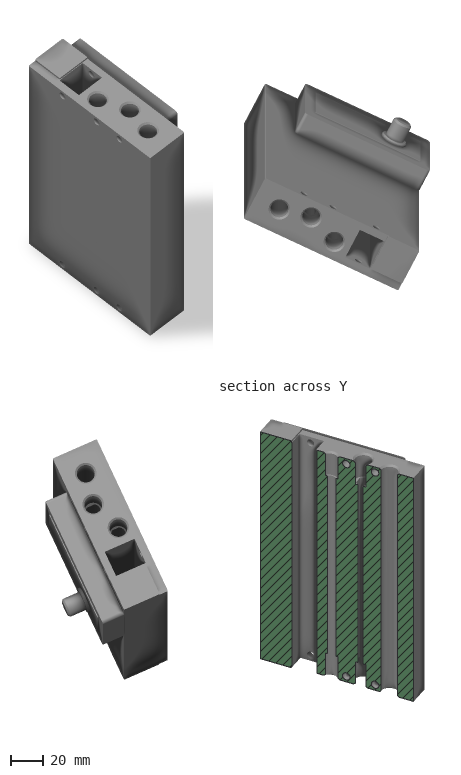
import cadquery as cq

total_depth = 58.5
total_height = 171.0

block_width = 106.7
block_depth = 30.0
cap_step = 1.4
block_height = total_height - 2 * cap_step
block_edge_radius = 0.7

cap_width = 21.7
cap_depth = 24.3
cap_edge_radius = 0.7

channel_left = 22.0
channel_width = 17.0
channel_front = 5.1
channel_depth = 20.2

port_spacing = 20.0
first_port_x = 49.6
middle_port_y = 15.2
port_stagger = 4.02
port_diameter = 11.1
port_mouth_diameter = 13.3
port_depth = 17.1
passage_diameter = 9.2
first_passage_flat = 4.1
second_passage_flat = 3.8

mount_diameter = 5.0
mount_xs = (29.8, 59.7, 79.7)
mount_end_distance = 5.6

housing_width = 86.2
housing_height = 53.7
housing_depth = 14.4
housing_top_gap = 10.8
housing_edge_radius = 2.0

plate_width = 72.3
plate_height = 35.2
plate_thickness = 0.5

connector_x = 25.5
connector_top_gap = 40.5
connector_diameter = 12.0
connector_chamfer = 1.2
collar_diameter = 16.6
collar_height = 2.4
collar_chamfer = 0.7

block_bottom = cap_step
housing_back = block_depth + housing_depth
housing_bottom = total_height - housing_top_gap - housing_height
housing_center_x = housing_width / 2
housing_center_z = housing_bottom + housing_height / 2
connector_z = total_height - connector_top_gap


def corner_box(width, depth, height, x=0, y=0, z=0):
    """Box with its lowest corner at (x, y, z)."""
    return cq.Workplane("XY").box(width, depth, height, centered=False).translate((x, y, z))


def upright_cylinder(x, y, z, diameter, height):
    """Cylinder standing along Z with its bottom centre at (x, y, z)."""
    return cq.Workplane("XY", origin=(x, y, z)).circle(diameter / 2).extrude(height)


def rod_to_back(x, y, z, diameter, length):
    """Cylinder that starts at y and runs toward the back."""
    plane = cq.Plane(origin=(x, y, z), xDir=(1, 0, 0), normal=(0, 1, 0))
    return cq.Workplane(plane).circle(diameter / 2).extrude(length)


def make_block():
    block = corner_box(block_width, block_depth, block_height, z=block_bottom)
    block = block.edges("|Z").fillet(block_edge_radius)
    caps = corner_box(cap_width, cap_depth, total_height, y=block_depth - cap_depth)
    return block.union(caps.edges("|Z").fillet(cap_edge_radius))


def make_passage(x, y, left_flat, right_flat):
    """Through passage whose sides are cut flat at the given distances from its axis."""
    passage = upright_cylinder(x, y, block_bottom, passage_diameter, block_height)
    limits = corner_box(left_flat + right_flat, passage_diameter, block_height,
                        x - left_flat, y - passage_diameter / 2, block_bottom)
    return passage.intersect(limits)


def make_port_bores(x, y):
    """Bores sunk from the top and bottom faces, each with a 45 degree mouth."""
    mouth_depth = (port_mouth_diameter - port_diameter) / 2
    profile = [
        (0, 0),
        (port_mouth_diameter / 2, 0),
        (port_diameter / 2, mouth_depth),
        (port_diameter / 2, port_depth),
        (0, port_depth),
    ]
    lower = cq.Workplane("XZ").polyline(profile).close().revolve(360, (0, 0), (0, 1))
    lower = lower.translate((x, y, block_bottom))
    upper = lower.mirror("XY", (0, 0, total_height / 2))
    return lower.union(upper)


def make_ports():
    second_port_x = first_port_x + port_spacing
    third_port_x = second_port_x + port_spacing
    low_y = middle_port_y - port_stagger
    high_y = middle_port_y + port_stagger
    passage_radius = passage_diameter / 2
    ports = make_port_bores(first_port_x, low_y)
    ports = ports.union(make_passage(first_port_x, low_y, passage_radius, first_passage_flat))
    ports = ports.union(make_port_bores(second_port_x, high_y))
    ports = ports.union(make_passage(second_port_x, high_y, second_passage_flat, second_passage_flat))
    ports = ports.union(make_port_bores(third_port_x, middle_port_y))
    full_bore = upright_cylinder(third_port_x, middle_port_y, block_bottom, port_diameter, block_height)
    return ports.union(full_bore)


def make_mounting_holes():
    holes = cq.Workplane("XY")
    for x in mount_xs:
        for z in (mount_end_distance, total_height - mount_end_distance):
            holes = holes.add(rod_to_back(x, 0, z, mount_diameter, block_depth))
    return holes.combine()


def make_housing():
    housing = corner_box(housing_width, housing_depth, housing_height, 0, block_depth, housing_bottom)
    housing = housing.edges("|Y").fillet(housing_edge_radius)
    plate = corner_box(plate_width, plate_thickness, plate_height,
                       housing_center_x - plate_width / 2, housing_back, housing_center_z - plate_height / 2)
    return housing.union(plate)


def make_connector():
    collar = rod_to_back(connector_x, housing_back, connector_z, collar_diameter, collar_height)
    collar = collar.faces(">Y").chamfer(collar_chamfer)
    length = total_depth - housing_back
    barrel = rod_to_back(connector_x, housing_back, connector_z, connector_diameter, length)
    return collar.union(barrel.faces(">Y").chamfer(connector_chamfer))


channel = corner_box(channel_width, channel_depth, total_height, channel_left, channel_front)
block = make_block().cut(channel).cut(make_ports()).cut(make_mounting_holes())
result = block.union(make_housing()).union(make_connector())